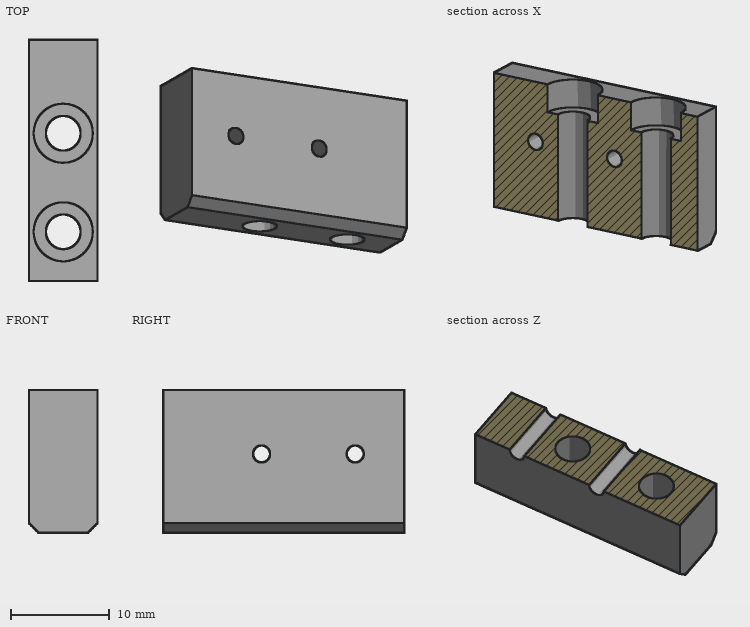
import cadquery as cq

width = 7.0
length = 24.5
height = 14.5
chamfer = 1.0

screw_hole_positions = (5.0, 15.0)
screw_hole_diameter = 3.5
counterbore_diameter = 6.0
counterbore_depth = 3.0

cross_hole_positions = (10.0, 19.5)
cross_hole_height = 8.0
cross_hole_diameter = 1.7


def make_block():
    """Block centred on X, with its -Y end at Y = 0 and its bottom at Z = 0."""
    block = cq.Workplane("XY").box(width, length, height, centered=(True, False, False))
    return block.faces("<Z").edges("|Y").chamfer(chamfer)


def cut_screw_holes(body):
    """Counterbored holes from the top face through to the bottom."""
    centers = [(0, y) for y in screw_hole_positions]
    top = cq.Workplane("XY").workplane(offset=height).pushPoints(centers)
    shanks = top.circle(screw_hole_diameter / 2).extrude(-height)
    counterbores = top.circle(counterbore_diameter / 2).extrude(-counterbore_depth)
    return body.cut(shanks).cut(counterbores)


def cut_cross_holes(body):
    """Plain holes along X from side to side."""
    centers = [(y, cross_hole_height) for y in cross_hole_positions]
    side = cq.Workplane("YZ").workplane(offset=-width / 2).pushPoints(centers)
    return body.cut(side.circle(cross_hole_diameter / 2).extrude(width))


result = cut_cross_holes(cut_screw_holes(make_block()))